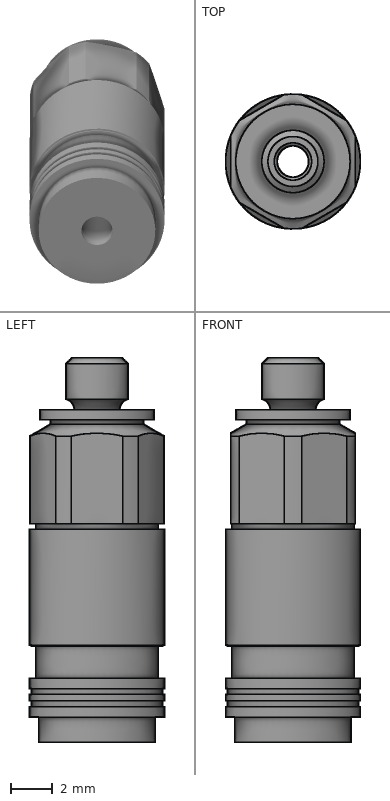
import cadquery as cq
import math

height = 18.5

bore_dia = 1.5
bore_mouth_dia = 1.8
tip_dia = 3.0
waist_dia = 2.2
flange_dia = 5.5
collar_dia = 4.5
body_dia = 6.5
neck_dia = 5.9
groove_dia = 6.3
base_dia = 5.6

hex_across_flats = 6.0
hex_cone_angle = 30.0

tip_chamfer = 0.3
tip_length = 2.0
waist_length = 0.5
flange_length = 0.5
collar_length = 0.2
hex_section_length = 4.8
upper_neck_length = 0.25
sleeve_length = 5.62

base_length = 1.22
ring_end_length = 0.5
groove_width = 0.28
ring_middle_length = 0.31
sleeve_step_length = 0.05
groove_count = 2

tip_bottom = height - tip_length
flange_top = tip_bottom - waist_length
flange_bottom = flange_top - flange_length
hex_top = flange_bottom - collar_length
hex_bottom = hex_top - hex_section_length
sleeve_top = hex_bottom - upper_neck_length
sleeve_bottom = sleeve_top - sleeve_length
ring_length = 2 * ring_end_length + groove_count * groove_width + (groove_count - 1) * ring_middle_length
ring_top = base_length + ring_length


def cylinder(diameter, bottom, top):
    return cq.Workplane("XY").workplane(offset=bottom).circle(diameter / 2).extrude(top - bottom)


def make_tip():
    """Chamfered tip with a concave undercut that meets the flange at a right angle."""
    tip_radius = tip_dia / 2
    waist_radius = waist_dia / 2
    profile = (
        cq.Workplane("XZ")
        .moveTo(0, flange_bottom)
        .lineTo(waist_radius, flange_bottom)
        .lineTo(waist_radius, flange_top)
        .tangentArcPoint((tip_radius, tip_bottom), relative=False)
        .lineTo(tip_radius, height - tip_chamfer)
        .lineTo(tip_radius - tip_chamfer, height)
        .lineTo(0, height)
        .close()
    )
    return profile.revolve(360, (0, 0), (0, 1))


def make_hex_section():
    """Hexagon with flats facing +X and -X, trimmed by a turned blank with a coned top."""
    hexagon = (
        cq.Workplane("XY")
        .workplane(offset=hex_bottom)
        .polygon(6, hex_across_flats / math.cos(math.pi / 6))
        .extrude(hex_section_length)
        .rotate((0, 0, 0), (0, 0, 1), 30)
    )
    cone_width = (body_dia - collar_dia) / 2
    cone_height = cone_width * math.tan(math.radians(hex_cone_angle))
    blank = cylinder(body_dia, hex_bottom, hex_top).faces(">Z").chamfer(cone_height, cone_width)
    return hexagon.intersect(blank)


def make_grooved_ring():
    ring = cylinder(body_dia, base_length, ring_top)
    for index in range(groove_count):
        bottom = base_length + ring_end_length + index * (groove_width + ring_middle_length)
        top = bottom + groove_width
        ring = ring.cut(cylinder(body_dia, bottom, top).cut(cylinder(groove_dia, bottom, top)))
    return ring


def make_bore():
    """Through bore with a chamfered mouth at the tip."""
    mouth_chamfer = (bore_mouth_dia - bore_dia) / 2
    mouth = (
        cq.Workplane("XY")
        .workplane(offset=height - mouth_chamfer)
        .circle(bore_dia / 2)
        .workplane(offset=mouth_chamfer)
        .circle(bore_mouth_dia / 2)
        .loft()
    )
    return cylinder(bore_dia, 0, height).union(mouth)


sleeve_step_top = sleeve_bottom + sleeve_step_length
sleeve = cylinder(body_dia, sleeve_step_top, sleeve_top).union(
    cylinder(groove_dia, sleeve_bottom, sleeve_step_top)
)

result = (
    cylinder(base_dia, 0, base_length)
    .union(make_grooved_ring())
    .union(cylinder(neck_dia, ring_top, sleeve_bottom))
    .union(sleeve)
    .union(cylinder(neck_dia, sleeve_top, hex_bottom))
    .union(make_hex_section())
    .union(cylinder(collar_dia, hex_top, flange_bottom))
    .union(cylinder(flange_dia, flange_bottom, flange_top))
    .union(make_tip())
    .cut(make_bore())
)